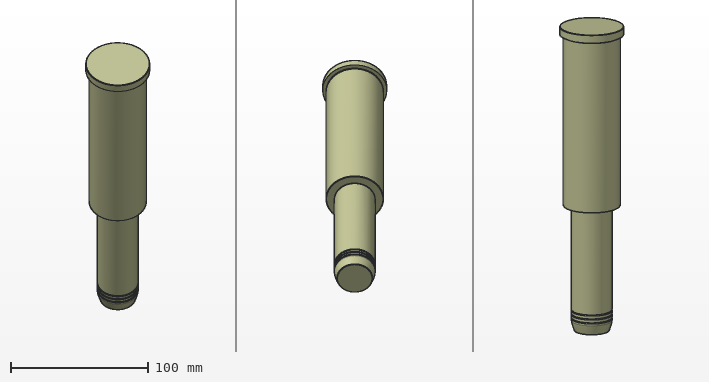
import cadquery as cq

total_length = 231.0
head_diameter = 47.0
body_diameter = 42.0
neck_diameter = 41.1
shank_diameter = 30.0
tip_diameter = 26.0

head_height = 6.0
neck_height = 1.2
body_bottom_z = 95.0
nose_height = 7.6
head_chamfer = 0.5
body_chamfer = 0.5
tip_chamfer = 0.5

groove_count = 3
groove_width = 1.0
groove_depth = 0.2
groove_pitch = 3.0
lowest_groove_z = 9.5

relief_width = 0.7

nose_bulge = 0.2


def disc(diameter, bottom_z, top_z):
    """Solid cylinder on the Z axis between two heights."""
    return cq.Workplane("XY").workplane(offset=bottom_z).circle(diameter / 2).extrude(top_z - bottom_z)


def make_head():
    head = disc(head_diameter, total_length - head_height, total_length)
    return head.faces(">Z").edges().chamfer(head_chamfer)


def make_body():
    """Thick cylinder under the head, joined to it by a short undercut neck."""
    neck_top_z = total_length - head_height
    body_top_z = neck_top_z - neck_height
    body = disc(body_diameter, body_bottom_z, body_top_z).faces("<Z").edges().chamfer(body_chamfer)
    return body.union(disc(neck_diameter, body_top_z, neck_top_z))


def make_shank():
    """Slim cylinder whose lower end narrows in a curved nose."""
    shank_radius = shank_diameter / 2
    tip_radius = tip_diameter / 2
    nose_middle = ((shank_radius + tip_radius) / 2 + nose_bulge, (nose_height + tip_chamfer) / 2)
    profile = (
        cq.Workplane("XZ")
        .moveTo(0, 0)
        .lineTo(tip_radius - tip_chamfer, 0)
        .lineTo(tip_radius, tip_chamfer)
        .threePointArc(nose_middle, (shank_radius, nose_height))
        .lineTo(shank_radius, body_bottom_z)
        .lineTo(0, body_bottom_z)
        .close()
    )
    return profile.revolve(360, (0, 0, 0), (0, 1, 0))


def make_groove(center_z, width):
    """Ring of material that one groove removes from the shank."""
    bottom_z = center_z - width / 2
    top_z = center_z + width / 2
    return disc(shank_diameter, bottom_z, top_z).cut(
        disc(shank_diameter - 2 * groove_depth, bottom_z, top_z)
    )


result = make_head().union(make_body()).union(make_shank())
for index in range(groove_count):
    result = result.cut(make_groove(lowest_groove_z + index * groove_pitch, groove_width))

result = result.cut(make_groove(body_bottom_z - relief_width / 2, relief_width))